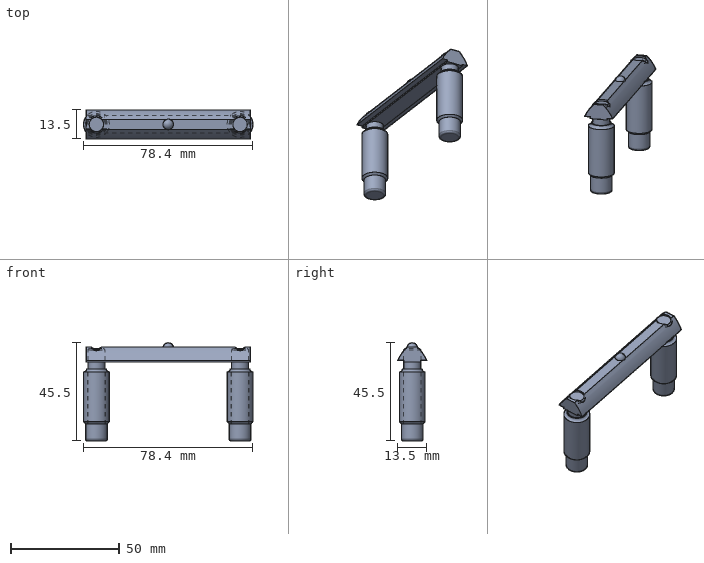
import cadquery as cq
import math

overall_length = 78.4
overall_height = 45.5

sleeve_diameter = 12.0
foot_diameter = 10.0
foot_height = 8.0
foot_fillet = 0.95
sleeve_shoulder_z = 32.0
cove_radius = 1.4
bore_diameter = 8.2
bore_floor_z = foot_height

pin_diameter = 8.0
pin_face_diameter = 6.7
pin_chamfer = (pin_diameter - pin_face_diameter) / 2
pin_recess = 0.8

rail_length = 75.9
rail_width = 13.5
rail_flat_width = 4.55
rail_height = 7.05
rail_lip_height = 0.8
rib_width = 8.1
rail_side_bulge = 0.4
dome_diameter = 5.0
dome_height = 1.9

rail_top_z = overall_height - dome_height
rail_bottom_z = rail_top_z - rail_height
rail_underside_z = rail_bottom_z + rail_lip_height
pin_top_z = rail_top_z - pin_recess
pin_x = (overall_length - sleeve_diameter) / 2
pin_positions = (-pin_x, pin_x)


def make_pin(x):
    """Straight pin with a chamfered upper end, standing on the bore floor."""
    return (
        cq.Workplane("XY", origin=(x, 0, bore_floor_z))
        .circle(pin_diameter / 2)
        .extrude(pin_top_z - bore_floor_z)
        .faces(">Z")
        .chamfer(pin_chamfer)
    )


def make_sleeve(x):
    """Stepped sleeve with a coved collar and a blind clearance bore."""
    outer = sleeve_diameter / 2
    foot = foot_diameter / 2
    bore = bore_diameter / 2
    collar = outer - cove_radius
    collar_z = sleeve_shoulder_z + cove_radius
    foot_taper = outer - foot
    cove_offset = cove_radius * math.sqrt(0.5)
    cove_middle = (outer - cove_offset, collar_z - cove_offset)
    return (
        cq.Workplane("XZ")
        .moveTo(0, 0)
        .lineTo(foot, 0)
        .lineTo(foot, foot_height)
        .lineTo(outer, foot_height + foot_taper)
        .lineTo(outer, sleeve_shoulder_z)
        .threePointArc(cove_middle, (collar, collar_z))
        .lineTo(bore, collar_z)
        .lineTo(bore, bore_floor_z)
        .lineTo(0, bore_floor_z)
        .close()
        .revolve(360, (0, 0, 0), (0, 1, 0))
        .faces("<Z")
        .edges()
        .fillet(foot_fillet)
        .translate((x, 0, 0))
    )


def make_rail_blank():
    """Rail with a flat crest, bulging sides and a central rib underneath."""
    half_flat = rail_flat_width / 2
    half_width = rail_width / 2
    half_rib = rib_width / 2
    side_run = half_width - half_flat
    side_drop = rail_top_z - rail_underside_z
    side_chord = math.hypot(side_run, side_drop)
    side_y = (half_flat + half_width) / 2 + rail_side_bulge * side_drop / side_chord
    side_z = (rail_top_z + rail_underside_z) / 2 + rail_side_bulge * side_run / side_chord
    return (
        cq.Workplane("YZ", origin=(-rail_length / 2, 0, 0))
        .moveTo(-half_flat, rail_top_z)
        .lineTo(half_flat, rail_top_z)
        .threePointArc((side_y, side_z), (half_width, rail_underside_z))
        .lineTo(half_rib, rail_underside_z)
        .lineTo(half_rib, rail_bottom_z)
        .lineTo(-half_rib, rail_bottom_z)
        .lineTo(-half_rib, rail_underside_z)
        .lineTo(-half_width, rail_underside_z)
        .threePointArc((-side_y, side_z), (-half_flat, rail_top_z))
        .close()
        .extrude(rail_length)
    )


def make_dome():
    """Ball whose upper part stands proud of the rail crest."""
    radius = dome_diameter / 2
    return cq.Workplane("XY", origin=(0, 0, overall_height - radius)).sphere(radius)


def make_face_recess(x):
    """Round opening from the rail crest down to the face of a pin."""
    return (
        cq.Workplane("XY", origin=(x, 0, pin_top_z))
        .circle(pin_face_diameter / 2)
        .extrude(pin_recess)
    )


pins = [make_pin(x) for x in pin_positions]
sleeves = [make_sleeve(x) for x in pin_positions]

rail = make_rail_blank().union(make_dome())
for x, pin in zip(pin_positions, pins):
    rail = rail.cut(pin).cut(make_face_recess(x))

result = cq.Compound.makeCompound(
    [rail.solids().val()] + [pin.val() for pin in pins] + [sleeve.val() for sleeve in sleeves]
)